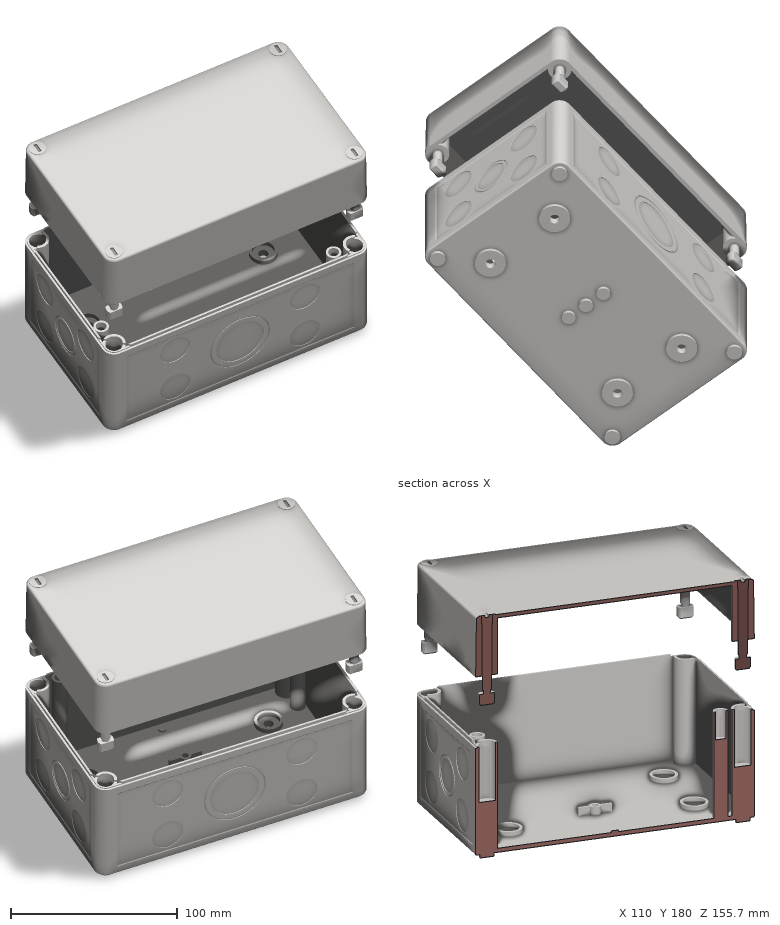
import cadquery as cq
WIDTH = 110.0
LENGTH = 180.0
CORNER_RADIUS = 7.5
WALL = 2.5
SCREW_X = 47.5
SCREW_Y = 82.5
POST_RADIUS = 7.0
SCREW_SPOTS = [(sx * SCREW_X, sy * SCREW_Y) for sx in (-1, 1) for sy in (-1, 1)]

BASE_BOTTOM = 2.2
BASE_SHOULDER = 71.1
BASE_RIM = 73.3
CORNER_SHELF = 71.8
FLOOR_TOP = 5.0
BASE_EDGE_FILLET = 1.0
RIM_INSET = 1.3
SCREW_WELL_RADIUS = 5.2
SCREW_WELL_BOTTOM = 36.0
SHELF_EDGE_OFFSET = 1.5
RIM_CUT_SIZE = 21.6

PANEL_CENTER_Z = 36.7
PANEL_HEIGHT = 58.7
PANEL_DEPTH = 0.4
PANEL_END_SLOPE = 1.5
PANEL_EDGE_SLOPE = 0.5
END_PANEL_WIDTH = 86.8
SIDE_PANEL_WIDTH = 157.3
KNOCKOUT_RADIUS = 10.3
KNOCKOUT_DEPTH = 0.4
KNOCKOUT_DZ = 16.5
END_KNOCKOUT_OFFSET = 25.4
SIDE_KNOCKOUT_OFFSET = 44.5
END_CENTER_RADII = (13.0, 12.0, 10.5)
SIDE_CENTER_RADII = (20.5, 19.5, 16.2)

CORNER_FOOT_RADIUS = 4.7
MOUNT_X = 25.0
MOUNT_Y = 60.0
MOUNT_FOOT_RADIUS = 9.4
MOUNT_RING_RADIUS = 8.6
MOUNT_RING_TOP = 8.3
MOUNT_BORE_RADIUS = 6.8
MOUNT_HOLE_RADIUS = 3.0
SMALL_FOOT_RADIUS = 4.1
SMALL_FOOT_PITCH = 13.5
RIB_X = 15.0
RIB_LENGTH = 21.6
RIB_THICKNESS = 1.5
RIB_TOP = 10.6
RIB_BOSS_RADIUS = 3.6
RIB_HOLE_RADIUS = 2.0
STUD_X = 47.5
STUD_RADIUS = 2.5
STUD_TOP = 6.1
SIDE_POST_RADIUS = 4.7
SIDE_POST_BORE = 3.2
SIDE_POST_BORE_DEPTH = 18.0
SIDE_POST_SPOTS = [(32.2, -82.8), (47.3, 68.2)]

LID_BOTTOM = 116.6
LID_TOP = 155.2
LID_DRAFT = 0.8
LID_EDGE_FILLET = 1.6
LID_CORNER_HEIGHT = 155.7
LID_RING_RADIUS = 5.2

HEAD_RADIUS = 3.5
HEAD_HEIGHT = 5.4
SLOT_WIDTH = 2.2
SLOT_DEPTH = 1.5
SHANK_RADIUS = 3.0
SHANK_END = 107.3
NECK_RADIUS = 2.5
KEY_TOP = 105.3
KEY_BOTTOM = 98.0
KEY_RADIUS = 5.0
KEY_CHAMFER = 1.0


def rounded_block(width, length, radius, bottom, top):
    block = cq.Workplane("XY").workplane(offset=bottom).rect(width, length).extrude(top - bottom)
    return block.edges("|Z").fillet(radius)


def cylinders(spots, radius, bottom, top):
    plane = cq.Workplane("XY").workplane(offset=bottom)
    return plane.pushPoints(spots).circle(radius).extrude(top - bottom)


def inner_block(bottom, top):
    """Space between the walls, with the corner posts left out of it."""
    space = rounded_block(WIDTH - 2 * WALL, LENGTH - 2 * WALL, CORNER_RADIUS - WALL, bottom, top)
    return space.cut(cylinders(SCREW_SPOTS, POST_RADIUS, bottom, top))


def panel_cut(width, center_offset, center_radii):
    """Recessed panel with knockouts, cut into a wall whose face is the local z = 0."""
    recess = (
        cq.Workplane("XY")
        .rect(width, PANEL_HEIGHT)
        .workplane(offset=-PANEL_DEPTH)
        .rect(width - 2 * PANEL_END_SLOPE, PANEL_HEIGHT - 2 * PANEL_EDGE_SLOPE)
        .loft()
    )
    floor = cq.Workplane("XY").workplane(offset=-PANEL_DEPTH)
    spots = [(sx * center_offset, sz * KNOCKOUT_DZ) for sx in (-1, 1) for sz in (-1, 1)]
    outer, middle, inner = center_radii
    corner_discs = floor.pushPoints(spots).circle(KNOCKOUT_RADIUS).extrude(-KNOCKOUT_DEPTH)
    groove = floor.circle(outer).circle(middle).extrude(-KNOCKOUT_DEPTH)
    center_disc = floor.circle(inner).extrude(-KNOCKOUT_DEPTH)
    return recess.union(corner_discs).union(groove).union(center_disc)


def cut_panels(base):
    end = panel_cut(END_PANEL_WIDTH, END_KNOCKOUT_OFFSET, END_CENTER_RADII)
    side = panel_cut(SIDE_PANEL_WIDTH, SIDE_KNOCKOUT_OFFSET, SIDE_CENTER_RADII)
    end = end.rotate((0, 0, 0), (1, 0, 0), 90).translate((0, -LENGTH / 2, PANEL_CENTER_Z))
    side = side.rotate((0, 0, 0), (1, 0, 0), 90).rotate((0, 0, 0), (0, 0, 1), -90)
    side = side.translate((-WIDTH / 2, 0, PANEL_CENTER_Z))
    for half_turn in (0, 180):
        for panel in (end, side):
            base = base.cut(panel.rotate((0, 0, 0), (0, 0, 1), half_turn))
    return base


def corner_shelves():
    """Blocks that lower the rim outside each screw well, bounded by a diagonal line."""
    blocks = cq.Workplane("XY")
    for x, y in SCREW_SPOTS:
        angle = {(1, 1): 45, (-1, 1): 135, (-1, -1): 225, (1, -1): 315}[(x > 0) * 2 - 1, (y > 0) * 2 - 1]
        block = (
            cq.Workplane("XY")
            .box(RIM_CUT_SIZE, 2 * RIM_CUT_SIZE, BASE_RIM - CORNER_SHELF, centered=(False, True, False))
            .translate((-SHELF_EDGE_OFFSET, 0, CORNER_SHELF))
            .rotate((0, 0, 0), (0, 0, 1), angle)
            .translate((x, y, 0))
        )
        blocks = blocks.add(block)
    return blocks.combine()


def make_base():
    base = rounded_block(WIDTH, LENGTH, CORNER_RADIUS, BASE_BOTTOM, BASE_SHOULDER)
    base = base.faces("<Z").edges().fillet(BASE_EDGE_FILLET)
    rim = rounded_block(
        WIDTH - 2 * RIM_INSET, LENGTH - 2 * RIM_INSET, CORNER_RADIUS - RIM_INSET, BASE_SHOULDER, BASE_RIM
    )
    base = base.union(rim).cut(inner_block(FLOOR_TOP, BASE_RIM))
    base = base.cut(corner_shelves())
    base = base.cut(cylinders(SCREW_SPOTS, SCREW_WELL_RADIUS, SCREW_WELL_BOTTOM, BASE_RIM))
    base = cut_panels(base)

    base = base.union(cylinders(SIDE_POST_SPOTS, SIDE_POST_RADIUS, FLOOR_TOP, BASE_RIM))
    base = base.cut(cylinders(SIDE_POST_SPOTS, SIDE_POST_BORE, BASE_RIM - SIDE_POST_BORE_DEPTH, BASE_RIM))

    mounts = [(sx * MOUNT_X, sy * MOUNT_Y) for sx in (-1, 1) for sy in (-1, 1)]
    small_feet = [(i * SMALL_FOOT_PITCH, 0) for i in (-1, 0, 1)]
    base = base.union(cylinders(SCREW_SPOTS, CORNER_FOOT_RADIUS, 0, FLOOR_TOP))
    base = base.union(cylinders(mounts, MOUNT_FOOT_RADIUS, 0, FLOOR_TOP))
    base = base.union(cylinders(small_feet, SMALL_FOOT_RADIUS, 0, FLOOR_TOP))
    base = base.union(cylinders(mounts, MOUNT_RING_RADIUS, FLOOR_TOP, MOUNT_RING_TOP))
    base = base.cut(cylinders(mounts, MOUNT_BORE_RADIUS, FLOOR_TOP, MOUNT_RING_TOP))
    base = base.cut(cylinders(mounts, MOUNT_HOLE_RADIUS, 0, FLOOR_TOP))

    rib = cq.Workplane("XY").box(RIB_THICKNESS, RIB_LENGTH, RIB_TOP - FLOOR_TOP, centered=(True, True, False))
    base = base.union(rib.translate((RIB_X, 0, FLOOR_TOP)))
    base = base.union(cylinders([(RIB_X, 0)], RIB_BOSS_RADIUS, FLOOR_TOP, RIB_TOP))
    base = base.cut(cylinders([(RIB_X, 0)], RIB_HOLE_RADIUS, FLOOR_TOP, RIB_TOP))
    return base.union(cylinders([(STUD_X, 0)], STUD_RADIUS, FLOOR_TOP, STUD_TOP))


def make_lid():
    outline = cq.Sketch().rect(WIDTH, LENGTH).vertices().fillet(CORNER_RADIUS)
    lid = cq.Workplane("XY").workplane(offset=LID_BOTTOM).placeSketch(outline)
    lid = lid.extrude(LID_TOP - LID_BOTTOM, taper=LID_DRAFT)
    lid = lid.faces(">Z").edges().fillet(LID_EDGE_FILLET)
    lid = lid.cut(inner_block(LID_BOTTOM, LID_TOP - WALL))
    lid = lid.union(cylinders(SCREW_SPOTS, LID_RING_RADIUS, LID_TOP - WALL, LID_CORNER_HEIGHT))
    lid = lid.cut(cylinders(SCREW_SPOTS, HEAD_RADIUS, LID_CORNER_HEIGHT - HEAD_HEIGHT, LID_CORNER_HEIGHT))
    return lid.cut(cylinders(SCREW_SPOTS, SHANK_RADIUS, LID_BOTTOM, LID_CORNER_HEIGHT))


def make_screw(x, y):
    origin = [(0, 0)]
    head_bottom = LID_CORNER_HEIGHT - HEAD_HEIGHT
    screw = cylinders(origin, HEAD_RADIUS, head_bottom, LID_CORNER_HEIGHT)
    slot = cq.Workplane("XY").box(2 * HEAD_RADIUS, SLOT_WIDTH, SLOT_DEPTH, centered=(True, True, False))
    screw = screw.cut(slot.translate((0, 0, LID_CORNER_HEIGHT - SLOT_DEPTH)))
    screw = screw.union(cylinders(origin, SHANK_RADIUS, SHANK_END, head_bottom))
    screw = screw.union(cylinders(origin, NECK_RADIUS, KEY_TOP, SHANK_END))
    key = cylinders(origin, KEY_RADIUS, KEY_BOTTOM, KEY_TOP)
    bar = cq.Workplane("XY").box(
        2 * SHANK_RADIUS, 2 * KEY_RADIUS, KEY_TOP - KEY_BOTTOM, centered=(True, True, False)
    )
    key = key.intersect(bar.translate((0, 0, KEY_BOTTOM)))
    key = key.faces("<Z").edges().chamfer(KEY_CHAMFER)
    return screw.union(key).translate((x, y, 0))


base = make_base()
lid = make_lid()
screws = [make_screw(x, y) for x, y in SCREW_SPOTS]

result = cq.Compound.makeCompound([base.val(), lid.val(), *[screw.val() for screw in screws]])